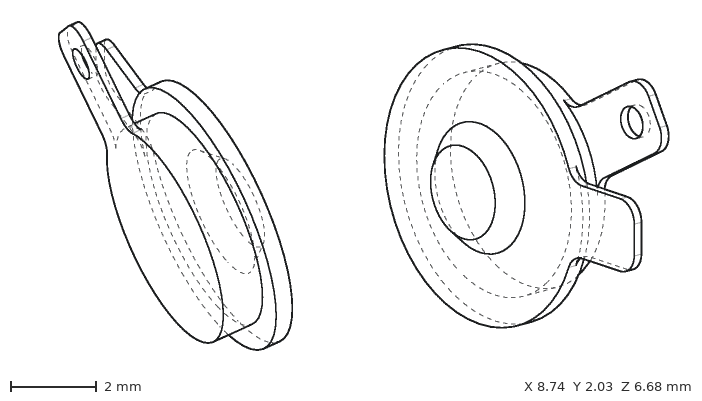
import cadquery as cq
import math

can_radius = 2.705
can_depth = 1.06
flange_radius = 3.34
flange_thickness = 0.44
dome_base_radius = 1.58
dome_top_radius = 1.13
dome_height = 0.53

tab_reach = 5.4
tab_width = 1.78
tab_thickness = 0.23
tab_corner_radius = 0.5
tab_root_radius = 0.5
can_tab_angle = 150
flange_tab_angle = 180
hole_diameter = 0.77
hole_distance = 4.5

flange_front = can_depth
flange_back = flange_front + flange_thickness


def front_plane(y):
    """Sketch plane at depth y: local x is X, local y is Z, normal is -Y."""
    return cq.Workplane("XZ", origin=(0, y, 0))


def disc(radius, front, thickness):
    return front_plane(front).circle(radius).extrude(-thickness)


def dome():
    """Truncated cone on the back of the flange."""
    taper = math.degrees(math.atan2(dome_base_radius - dome_top_radius, dome_height))
    return front_plane(flange_back).circle(dome_base_radius).extrude(-dome_height, taper=taper)


def tab(body_radius, front, angle):
    """Radial tab with rounded corners, its root blended into a disc of body_radius."""
    half_width = tab_width / 2
    corner = tab_corner_radius
    diagonal = corner * math.sqrt(0.5)

    blend_y = half_width + tab_root_radius
    blend_distance = body_radius + tab_root_radius
    blend_x = math.sqrt(blend_distance**2 - blend_y**2)
    touch_x = blend_x * body_radius / blend_distance
    touch_y = blend_y * body_radius / blend_distance
    middle_angle = (math.atan2(-blend_y, -blend_x) - math.pi / 2) / 2
    middle_x = blend_x + tab_root_radius * math.cos(middle_angle)
    middle_y = blend_y + tab_root_radius * math.sin(middle_angle)

    corner_x = tab_reach - corner
    corner_y = half_width - corner
    return (
        front_plane(front)
        .transformed(rotate=(0, 0, angle))
        .lineTo(touch_x, touch_y)
        .threePointArc((middle_x, middle_y), (blend_x, half_width))
        .lineTo(corner_x, half_width)
        .threePointArc((corner_x + diagonal, corner_y + diagonal), (tab_reach, corner_y))
        .lineTo(tab_reach, -corner_y)
        .threePointArc((corner_x + diagonal, -corner_y - diagonal), (corner_x, -half_width))
        .lineTo(blend_x, -half_width)
        .threePointArc((middle_x, -middle_y), (touch_x, -touch_y))
        .close()
        .extrude(-tab_thickness)
    )


def can_tab():
    """Tab flush with the front of the can, with a hole near its end."""
    hole = (
        front_plane(0)
        .transformed(rotate=(0, 0, can_tab_angle))
        .center(hole_distance, 0)
        .circle(hole_diameter / 2)
        .extrude(-tab_thickness)
    )
    return tab(can_radius, 0, can_tab_angle).cut(hole)


def flange_tab():
    """Tab flush with the back of the flange."""
    return tab(flange_radius, flange_back - tab_thickness, flange_tab_angle)


result = (
    disc(can_radius, 0, can_depth)
    .union(disc(flange_radius, flange_front, flange_thickness))
    .union(dome())
    .union(can_tab())
    .union(flange_tab())
)